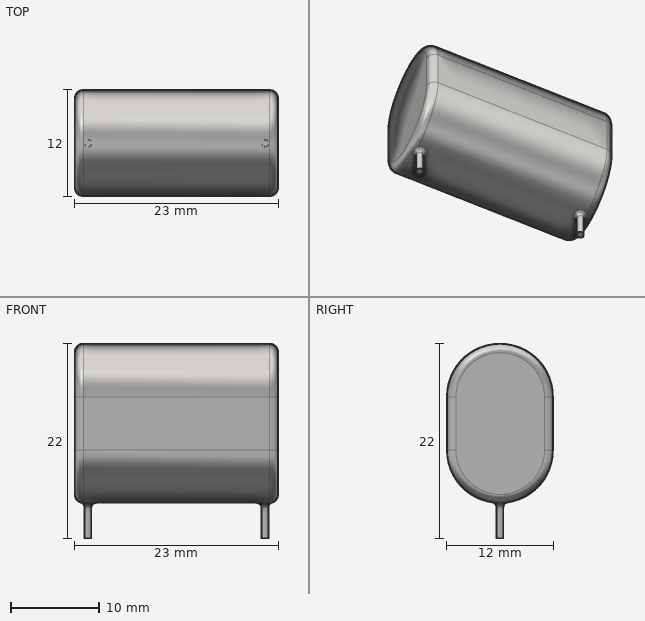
import cadquery as cq

body_length = 23.0
body_width = 12.0
body_height = 18.0
end_rounding = 1.0

lead_pitch = 20.0
lead_diameter = 0.8
lead_length = 4.0
lead_fillet = 0.5


def make_body():
    """Capsule-shaped block with its underside at Z = 0."""
    body = (
        cq.Workplane("YZ")
        .center(0, body_height / 2)
        .slot2D(body_height, body_width, 90)
        .extrude(body_length / 2, both=True)
    )
    return body.faces("<X or >X").edges().fillet(end_rounding)


def make_leads():
    """Pair of pins whose tops reach inside the body to join it."""
    lead_overlap = body_width / 4
    return (
        cq.Workplane("XY", origin=(0, 0, -lead_length))
        .rarray(lead_pitch, 0.23, 2, 1)
        .circle(lead_diameter / 2)
        .extrude(lead_length + lead_overlap)
    )


def blend_leads(part):
    """Fillet the closed joint where each lead meets the body."""
    reach = lead_diameter
    for lead_x in (-lead_pitch / 2, lead_pitch / 2):
        joint = cq.selectors.BoxSelector(
            (lead_x - reach, -reach, -reach),
            (lead_x + reach, reach, reach),
        )
        part = part.edges(joint).fillet(lead_fillet)
    return part


result = blend_leads(make_body().union(make_leads()))